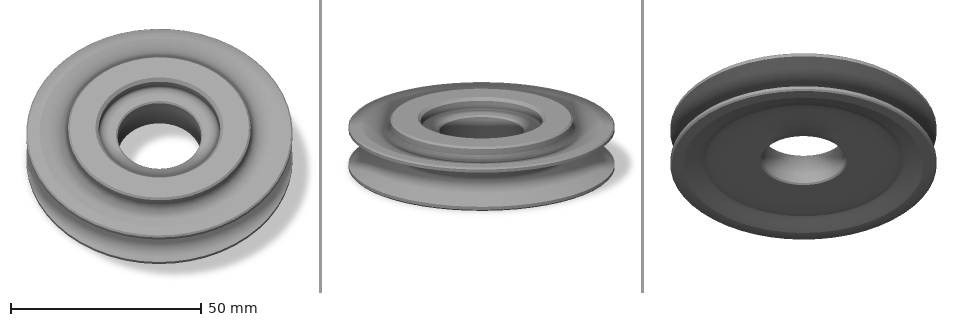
import cadquery as cq
import math


rim_radius = 35.0
flange_span = 12.0
rim_width = 1.25
rim_chamfer = 0.4
root_radius = 23.0
root_fillet = 0.8
flank_angle = 15.0

dish_radius = 31.5
dish_fillet = 1.4
hub_radius = 24.0
hub_chamfer = 0.5
hub_top = 14.0
hub_bottom = 1.5

bore_radius = 11.0
bore_chamfer = 0.4
seat_radius = 16.0
seat_depth = 3.2
seat_chamfer = 0.8
seat_fillet = 0.5

flank_slope = math.tan(math.radians(flank_angle))
seat_floor = hub_top - seat_depth


def revolve_profile(points):
    """Turn a closed outline of (radius, height) points about the Z axis."""
    return cq.Workplane("XZ").polyline(points).close().revolve(360, (0, 0, 0), (0, 1, 0))


def slab(half_width, height, half_thickness):
    """Select the edges inside a thin square slab centred on the Z axis."""
    return cq.selectors.BoxSelector(
        (-half_width, -half_width, height - half_thickness),
        (half_width, half_width, height + half_thickness),
        boundingbox=True,
    )


def circles_at(radius, height):
    """Select the circular edges of a given radius and height."""
    tolerance = 0.01
    inner_edges = slab(radius - tolerance, height, tolerance)
    return slab(radius + tolerance, height, tolerance) - inner_edges


def make_body():
    """Turn the hub and both flanges, then round and bevel their edges."""
    upper_dish_bottom = flange_span - (dish_radius - hub_radius) * flank_slope
    lower_dish_inner_radius = dish_radius - hub_bottom / flank_slope
    flank_rise = (rim_radius - root_radius) * flank_slope
    lower_root = rim_width + flank_rise
    upper_root = flange_span - lower_root

    body = revolve_profile([
        (bore_radius, hub_bottom),
        (lower_dish_inner_radius, hub_bottom),
        (dish_radius, 0),
        (rim_radius, 0),
        (rim_radius, rim_width),
        (root_radius, lower_root),
        (root_radius, upper_root),
        (rim_radius, flange_span - rim_width),
        (rim_radius, flange_span),
        (dish_radius, flange_span),
        (hub_radius, upper_dish_bottom),
        (hub_radius, hub_top),
        (seat_radius, hub_top),
        (seat_radius, seat_floor),
        (bore_radius, seat_floor),
    ])

    for height in (lower_root, upper_root):
        body = body.edges(circles_at(root_radius, height)).fillet(root_fillet)
    body = body.edges(circles_at(hub_radius, upper_dish_bottom)).fillet(dish_fillet)
    body = body.edges(circles_at(seat_radius, seat_floor)).fillet(seat_fillet)

    for height in (0, flange_span):
        body = body.edges(circles_at(rim_radius, height)).chamfer(rim_chamfer)
    for height in (hub_bottom, seat_floor):
        body = body.edges(circles_at(bore_radius, height)).chamfer(bore_chamfer)
    body = body.edges(circles_at(hub_radius, hub_top)).chamfer(hub_chamfer)
    return body.edges(circles_at(seat_radius, hub_top)).chamfer(seat_chamfer)


result = make_body()